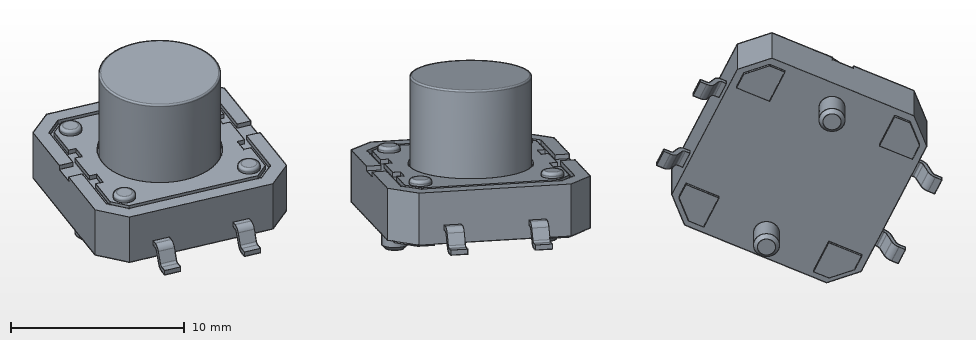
import cadquery as cq
import math


body_side = 12.0
body_height = 3.09
body_corner = 1.5

plate_side = 9.73
plate_corner = 0.83
moat_width = 0.28
moat_depth = 0.28
moat_side = plate_side + 2 * moat_width
moat_corner = plate_corner + moat_width * (2 - math.sqrt(2))
moat_floor = body_height - moat_depth
rim_slot_width = 1.35
notch_width = 0.92
notch_depth = 0.46
notch_offset = 1.5

button_top = 8.31
button_diameter = 7.0
button_edge_radius = 0.1
button_hole_diameter = 7.2

rivet_diameter = 1.3
rivet_rise = 0.32
rivet_edge_radius = 0.2
rivet_offset = 3.9

pin_diameter = 1.5
pin_length = 1.7
pin_chamfer = 0.23
pin_offset = 4.5

foot_outer = 5.57
foot_side = 2.1
foot_corner = 1.12
foot_height = 0.18

lead_span = 15.3
lead_width = 1.01
lead_thickness = 0.3
lead_pitch = 5.0
lead_bottom = -0.28
lead_rise = 1.07
bend_inner_radius = 0.2
bend_angle = math.radians(65.0)
bend_start = 6.29
lead_embed = 0.3


def octagon(side, corner, base, height):
    """Square block with cut vertical corners."""
    block = cq.Workplane("XY").workplane(offset=base).rect(side, side).extrude(height)
    return block.edges("|Z").chamfer(corner)


def square_points(offset):
    """Four points at plus and minus the offset in X and Y."""
    return [(x, y) for x in (-offset, offset) for y in (-offset, offset)]


def make_housing():
    """Octagonal block with the recess for the plate and two slots through its rim."""
    housing = octagon(body_side, body_corner, 0, body_height)
    housing = housing.cut(octagon(moat_side, moat_corner, moat_floor, moat_depth))
    floor_plane = cq.Workplane("XY").workplane(offset=moat_floor)
    return housing.cut(floor_plane.rect(rim_slot_width, body_side).extrude(moat_depth))


def make_plate():
    """Cover plate with edge notches and a clearance hole round the button."""
    plate = octagon(plate_side, plate_corner, moat_floor, moat_depth)
    notch_y = (plate_side - notch_depth) / 2
    notch_points = [(x, y) for x in (-notch_offset, notch_offset) for y in (-notch_y, notch_y)]
    floor_plane = cq.Workplane("XY").workplane(offset=moat_floor)
    notches = floor_plane.pushPoints(notch_points).rect(notch_width, notch_depth).extrude(moat_depth)
    return plate.cut(notches).cut(floor_plane.circle(button_hole_diameter / 2).extrude(moat_depth))


def make_button():
    """Round button standing on the recess floor."""
    floor_plane = cq.Workplane("XY").workplane(offset=moat_floor)
    button = floor_plane.circle(button_diameter / 2).extrude(button_top - moat_floor)
    return button.faces(">Z").edges().fillet(button_edge_radius)


def make_rivets():
    """Round-edged rivet heads on the corners of the plate."""
    plate_plane = cq.Workplane("XY").workplane(offset=body_height)
    rivets = plate_plane.pushPoints(square_points(rivet_offset))
    rivets = rivets.circle(rivet_diameter / 2).extrude(rivet_rise)
    return rivets.faces(">Z").edges().fillet(rivet_edge_radius)


def make_pins():
    """Two chamfered locating pins under the housing."""
    pins = cq.Workplane("XY").pushPoints([(0, -pin_offset), (0, pin_offset)])
    pins = pins.circle(pin_diameter / 2).extrude(-pin_length)
    return pins.faces("<Z").edges().chamfer(pin_chamfer)


def make_feet():
    """Four square feet whose outermost corners are cut at 45 degrees."""
    centre = foot_outer - foot_side / 2
    feet = cq.Workplane("XY").pushPoints(square_points(centre))
    feet = feet.rect(foot_side, foot_side).extrude(-foot_height)
    return feet.intersect(octagon(2 * foot_outer, foot_corner, -foot_height, foot_height))


def make_lead():
    """S-bent strip on the +X side, centred on Y = 0."""
    top = lead_bottom + lead_thickness + lead_rise
    r_in = bend_inner_radius
    r_out = r_in + lead_thickness
    sloped_drop = lead_rise - (r_in + r_out) * (1 - math.cos(bend_angle))
    sloped_run = sloped_drop / math.tan(bend_angle)
    bend_end = bend_start + (r_in + r_out) * math.sin(bend_angle) + sloped_run
    upper_centre_z = top - r_out
    lower_centre_z = lead_bottom + r_out

    def upper_bend(radius, angle):
        return (bend_start + radius * math.sin(angle), upper_centre_z + radius * math.cos(angle))

    def lower_bend(radius, angle):
        return (bend_end - radius * math.sin(angle), lower_centre_z - radius * math.cos(angle))

    half = bend_angle / 2
    root = body_side / 2 - lead_embed
    tip = lead_span / 2
    outline = (
        cq.Workplane("XZ")
        .moveTo(root, top)
        .lineTo(*upper_bend(r_out, 0))
        .threePointArc(upper_bend(r_out, half), upper_bend(r_out, bend_angle))
        .lineTo(*lower_bend(r_in, bend_angle))
        .threePointArc(lower_bend(r_in, half), lower_bend(r_in, 0))
        .lineTo(tip, lead_bottom + lead_thickness)
        .lineTo(tip, lead_bottom)
        .lineTo(*lower_bend(r_out, 0))
        .threePointArc(lower_bend(r_out, half), lower_bend(r_out, bend_angle))
        .lineTo(*upper_bend(r_in, bend_angle))
        .threePointArc(upper_bend(r_in, half), upper_bend(r_in, 0))
        .lineTo(root, top - lead_thickness)
        .close()
    )
    return outline.extrude(lead_width / 2, both=True)


result = make_housing()
for part in (make_plate(), make_button(), make_rivets(), make_pins(), make_feet()):
    result = result.union(part)

right_lead = make_lead()
for lead in (right_lead, right_lead.mirror("YZ")):
    for lead_y in (-lead_pitch / 2, lead_pitch / 2):
        result = result.union(lead.translate((0, lead_y, 0)))